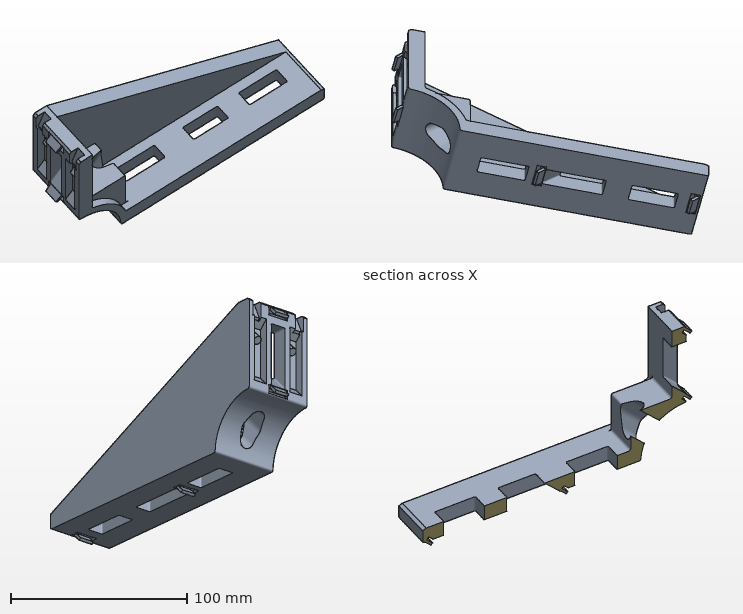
import cadquery as cq
import math

width = 43.0
hook_reach = 3.8
overall_length = 178.8
overall_height = 89.8
length = overall_length - hook_reach
height = overall_height - hook_reach
plate_thickness = 9.7
base_thickness = 10.4
wall_thickness = 9.8
back_edge_height = 9.3
outer_round = 1.5
corner_round = 1.6
overshoot = 1.8

cove_radius = 30.0
cove_shell = 5.0
boss_size = 37.0
boss_setback = 4.8
boss_round = 1.3
tunnel_middle_radius = 6.5
tunnel_end_radius = 4.8
tunnel_upper = 11.0
tunnel_lower = -21.0

slot_width = 10.4
slot_round = 0.9
plate_slot_top = 74.4
mid_slot_back = 119.0
straight_slots = [(46.0, 74.0), (134.1, 161.1)]
hook_thickness = 1.8
hook_drop = 0.4
hook_tip_width = 9.5
plate_hooks = [36.3, 84.7]
base_hooks = [83.9, 173.6]
relief_width = 13.8
relief_height = 5.5

pocket_offset = 13.2
pocket_width = 8.8
pocket_depth = 5.2
pocket_bottom = 36.0
pocket_top = 76.2
pin_offset = 12.96
pin_diameter = 5.0
pin_height = 64.9
pin_rise = 2.1
notch_offset = 15.7
notch_width = 6.0
notch_top_depth = 6.0
notch_bottom_depth = 1.6
notch_undercut = 1.8

left = -width / 2
right = width / 2


def slab(x_min, x_max, y_max, z_max):
    """Block from the front face and the underside, between two X positions."""
    return cq.Workplane("XY").box(x_max - x_min, y_max, z_max, centered=False).translate((x_min, 0, 0))


def section(points, across, x_centre=0.0):
    """Extrude a (Y, Z) outline across X, centred on x_centre."""
    return cq.Workplane("YZ").polyline(points).close().extrude(across / 2, both=True).translate((x_centre, 0, 0))


def mirror_yz(points):
    """Swap Y and Z, which turns a front plate outline into a base outline."""
    return [(z, y) for y, z in points]


def cylinder_along_x(radius):
    return cq.Workplane("YZ").circle(radius).extrude(width / 2, both=True)


def make_envelope():
    """Full-width prism with the outline of the side wall."""
    outline = [(0, 0), (length, 0), (length, back_edge_height), (plate_thickness, height), (0, height)]
    envelope = section(outline, width).cut(cylinder_along_x(cove_radius))
    envelope = envelope.edges(cq.NearestToPointSelector((0, 0, height))).chamfer(outer_round)
    for y, z in [(length, 0), (0, cove_radius), (cove_radius, 0)]:
        envelope = envelope.edges(cq.NearestToPointSelector((0, y, z))).fillet(outer_round)
    return envelope


def make_frame():
    """Base, front plate, cove shell and boss, with rounded inside corners."""
    shell_radius = cove_radius + cove_shell
    frame = slab(left, right, length, base_thickness).union(slab(left, right, plate_thickness, height))
    shell = cylinder_along_x(shell_radius).intersect(slab(left, right, length, height))
    frame = frame.union(shell)
    for y, z in [
        (plate_thickness, math.sqrt(shell_radius**2 - plate_thickness**2)),
        (math.sqrt(shell_radius**2 - base_thickness**2), base_thickness),
    ]:
        frame = frame.edges(cq.NearestToPointSelector((0, y, z))).fillet(corner_round)

    boss_right = right - boss_setback
    boss = slab(left, boss_right, boss_size, boss_size)
    boss = boss.edges(cq.NearestToPointSelector((0, boss_size, boss_size))).fillet(boss_round)
    frame = frame.union(boss)
    for y, z in [(plate_thickness, boss_size), (boss_size, base_thickness)]:
        frame = frame.edges(cq.NearestToPointSelector(((left + boss_right) / 2, y, z))).fillet(corner_round)
    return frame


def make_tunnel():
    """Oblong passage through the boss, rising inwards at 45 degrees and narrowing to both ends."""
    lower_centre = tunnel_lower / math.sqrt(2) + tunnel_end_radius
    upper_centre = tunnel_upper / math.sqrt(2) - tunnel_end_radius
    outline = (
        cq.Sketch()
        .arc((0, lower_centre), tunnel_end_radius, 0, 360)
        .arc((0, (lower_centre + upper_centre) / 2), tunnel_middle_radius, 0, 360)
        .arc((0, upper_centre), tunnel_end_radius, 0, 360)
        .hull()
    )
    plane = cq.Plane(origin=(0, 0, 0), xDir=(-1, 0, 0), normal=(0, 1, 1))
    return cq.Workplane(plane).placeSketch(outline).extrude(2 * boss_size)


def slot_outline(root, top, thickness):
    """Plate slot: flat upper end, lower end rising inwards at 45 degrees from the root."""
    inner = thickness + overshoot
    return [(-overshoot, root - overshoot), (inner, root + inner), (inner, top), (-overshoot, top)]


def relief_outline(root):
    """V-shaped groove around a plate hook, as a (Y, Z) outline."""
    return [(0, root), (relief_height / 2, root - relief_height / 2), (0, root - relief_height)]


def make_hook(plane):
    """Tapered 45 degree tab; the plane is its upper side, with local +Y pointing into the body."""
    inside = hook_drop / math.sqrt(2)
    outside = hook_reach * math.sqrt(2)
    half_root = slot_width / 2
    half_tip = hook_tip_width / 2
    points = [(-half_root, inside), (half_root, inside), (half_tip, -outside), (-half_tip, -outside)]
    return cq.Workplane(plane).polyline(points).close().extrude(-hook_thickness)


def make_pin(x):
    """Pin leaning out of a pocket floor at 45 degrees, with its root buried in the plate."""
    embedded = pin_diameter / 2
    reach = pin_rise * math.sqrt(2)
    plane = cq.Plane(origin=(x, pocket_depth, pin_height), xDir=(1, 0, 0), normal=(0, -1, -1))
    pin = cq.Workplane(plane).workplane(offset=-embedded).circle(pin_diameter / 2)
    return pin.extrude(embedded + reach)


wall = slab(left, left + wall_thickness, length, height)
body = make_envelope().intersect(make_frame().union(wall)).cut(make_tunnel())

plate_slot = section(slot_outline(plate_hooks[0], plate_slot_top, plate_thickness), slot_width)
body = body.cut(plate_slot.edges("not(|X or |Z)").fillet(slot_round))

mid_slot = section(mirror_yz(slot_outline(base_hooks[0], mid_slot_back, base_thickness)), slot_width)
body = body.cut(mid_slot.edges("not(|X or |Y)").fillet(slot_round))

for y_min, y_max in straight_slots:
    slot = slab(-slot_width / 2, slot_width / 2, y_max - y_min, base_thickness).translate((0, y_min, 0))
    body = body.cut(slot.edges("|Z").fillet(slot_round))

pocket_outline = [
    (0, pocket_bottom),
    (pocket_depth, pocket_bottom + pocket_depth),
    (pocket_depth, pocket_top - pocket_depth),
    (0, pocket_top),
]
notch_outline = [(0, height), (notch_top_depth, height), (notch_bottom_depth, pocket_top), (0, pocket_top)]
undercut_floor = pocket_top - notch_undercut
undercut_outline = [
    (0, pocket_top),
    (notch_bottom_depth, pocket_top),
    (notch_bottom_depth + notch_undercut, undercut_floor),
    (0, undercut_floor),
]
undercut_inner = notch_offset - notch_width / 2
undercut_outer = pocket_offset + pocket_width / 2
undercut_width = undercut_outer - undercut_inner
undercut_offset = (undercut_outer + undercut_inner) / 2
for side in (-1, 1):
    body = body.cut(section(pocket_outline, pocket_width, side * pocket_offset))
    body = body.cut(section(notch_outline, notch_width, side * notch_offset))
    body = body.cut(section(undercut_outline, undercut_width, side * undercut_offset))
    body = body.union(make_pin(side * pin_offset))

for root in plate_hooks:
    body = body.cut(section(relief_outline(root), relief_width))
    plane = cq.Plane(origin=(0, 0, root - hook_drop), xDir=(1, 0, 0), normal=(0, -1, 1))
    body = body.union(make_hook(plane))
for root in base_hooks:
    body = body.cut(section(mirror_yz(relief_outline(root)), relief_width))
    plane = cq.Plane(origin=(0, root - hook_drop, 0), xDir=(-1, 0, 0), normal=(0, 1, -1))
    body = body.union(make_hook(plane))

result = body